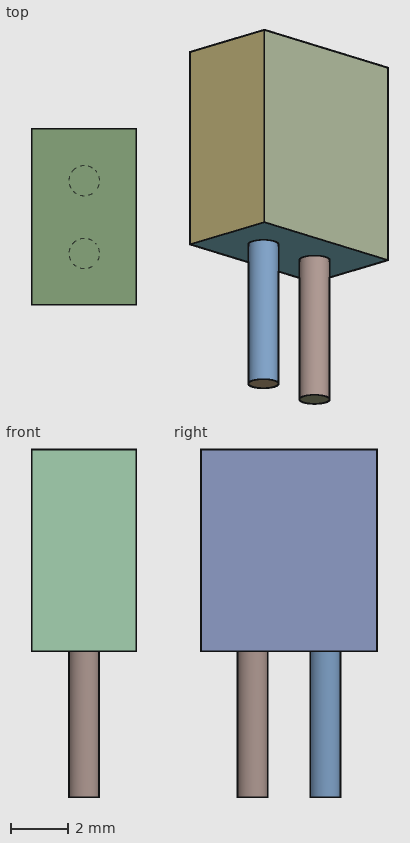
import cadquery as cq

HOUSING_X = 3.65
HOUSING_Y = 6.15
HOUSING_HEIGHT = 7.05

PIN_DIAMETER = 1.06
PIN_LENGTH = 5.1
PIN_PITCH = 2.54
PIN_COUNT = 2


def make_housing():
    """Plain rectangular block standing on Z = 0."""
    return cq.Workplane("XY").box(HOUSING_X, HOUSING_Y, HOUSING_HEIGHT, centered=(True, True, False))


def make_pin(y):
    """Round pin that touches the underside of the housing and points down."""
    return cq.Workplane("XY").center(0, y).circle(PIN_DIAMETER / 2).extrude(-PIN_LENGTH)


housing = make_housing()

first_pin_y = -PIN_PITCH * (PIN_COUNT - 1) / 2
pins = [make_pin(first_pin_y + i * PIN_PITCH) for i in range(PIN_COUNT)]

result = cq.Compound.makeCompound([housing.val(), *[pin.val() for pin in pins]])